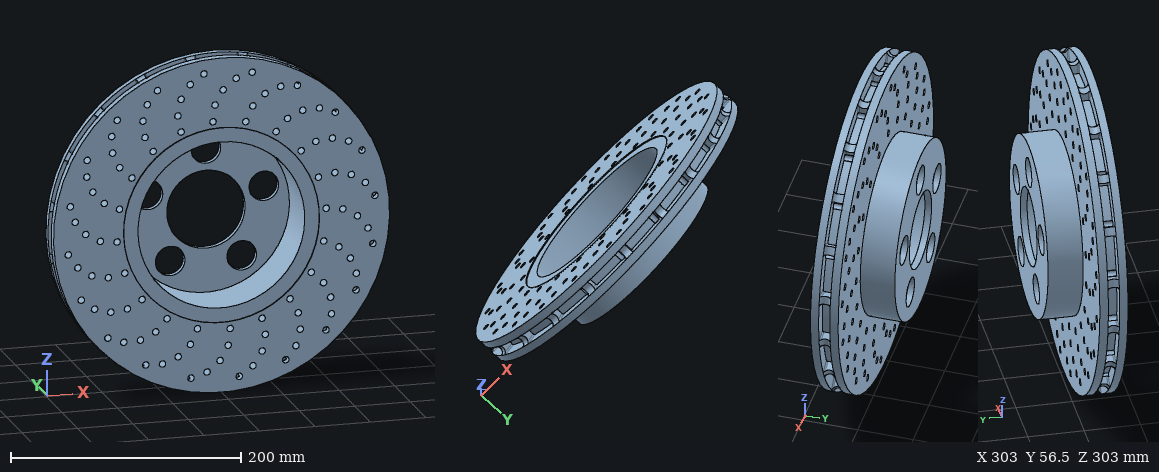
import cadquery as cq
import math

ROTOR_RADIUS = 151.5
TOTAL_DEPTH = 56.5
PLATE_THICKNESS = 7.5
VENT_GAP = 10.0
DISC_THICKNESS = 2 * PLATE_THICKNESS + VENT_GAP
VENT_MIDDLE = DISC_THICKNESS / 2

HAT_OUTER_RADIUS = 81.5
HAT_INNER_RADIUS = 75.0
HAT_FLOOR_THICKNESS = 6.0
CENTRE_BORE_RADIUS = 35.0
RELIEF_RADIUS = 88.2
RELIEF_DEPTH = 1.0

BOLT_COUNT = 5
BOLT_CIRCLE_RADIUS = 54.8
BOLT_HOLE_DIAMETER = 26.5
FIRST_BOLT_ANGLE = 90

VANE_COUNT = 20
VANE_PITCH = 360 / VANE_COUNT
VANE_WIDTH = 8.0
VENT_FLOOR_RADIUS = 139.7
VANE_FILLET = 1.2
POCKET_OVERSHOOT = 6.0
RIM_GROOVE_DEPTH = 4.0

DRILL_RADIUS = 2.88
DRILLS_PER_ARC = 5
DRILL_ARC_RADIUS = 39.5
DRILL_ARC_CENTRE_RADIUS = 102.0
DRILL_ARC_CENTRE_ANGLE = 72.0
DRILL_ARC_START = 184.2
DRILL_ARC_STEP = -22.1


def cylinder(radius, start, end, x=0.0, z=0.0):
    """Solid cylinder parallel to Y, from Y = start to Y = end."""
    return cq.Workplane(
        cq.Solid.makeCylinder(radius, end - start, cq.Vector(x, start, z), cq.Vector(0, 1, 0))
    )


def polar(radius, angle):
    """X and Z of a point given in polar form about the rotor axis."""
    return radius * math.cos(math.radians(angle)), radius * math.sin(math.radians(angle))


def rotor_blank():
    """Disc and hat without any openings around the rim."""
    disc = cylinder(ROTOR_RADIUS, 0, DISC_THICKNESS)
    hat = cylinder(HAT_OUTER_RADIUS, 0, TOTAL_DEPTH)
    relief = cylinder(RELIEF_RADIUS, 0, RELIEF_DEPTH)
    hollow = cylinder(HAT_INNER_RADIUS, 0, TOTAL_DEPTH - HAT_FLOOR_THICKNESS)
    bore = cylinder(CENTRE_BORE_RADIUS, 0, TOTAL_DEPTH)
    return disc.union(hat).cut(relief).cut(hollow).cut(bore)


def bolt_holes():
    """Ring of through holes in the hat floor, the first one at the top."""
    holes = cq.Workplane()
    for i in range(BOLT_COUNT):
        x, z = polar(BOLT_CIRCLE_RADIUS, FIRST_BOLT_ANGLE + i * 360 / BOLT_COUNT)
        holes.add(cylinder(BOLT_HOLE_DIAMETER / 2, 0, TOTAL_DEPTH, x, z))
    return holes.combine()


def vent_pocket():
    """Rim pocket centred on +X: round floor, vane sides filleted along both plates."""

    def corner(radius, side):
        half_angle = VANE_PITCH / 2 - math.degrees(math.asin(VANE_WIDTH / 2 / radius))
        return polar(radius, side * half_angle)

    open_radius = ROTOR_RADIUS + POCKET_OVERSHOOT
    pocket = (
        cq.Workplane("XZ", origin=(0, VENT_MIDDLE - VENT_GAP / 2, 0))
        .moveTo(*corner(VENT_FLOOR_RADIUS, -1))
        .threePointArc((VENT_FLOOR_RADIUS, 0), corner(VENT_FLOOR_RADIUS, 1))
        .lineTo(*corner(open_radius, 1))
        .threePointArc((open_radius, 0), corner(open_radius, -1))
        .close()
        .extrude(-VENT_GAP)
    )
    return pocket.faces("<Y or >Y").edges("%LINE").fillet(VANE_FILLET)


def vent_pockets():
    """Full ring of rim pockets; the walls left between them are the vanes."""
    pocket = vent_pocket()
    pockets = cq.Workplane()
    for i in range(VANE_COUNT):
        pockets.add(pocket.rotate((0, 0, 0), (0, 1, 0), i * VANE_PITCH))
    return pockets.combine()


def rim_groove():
    """Round-bottomed groove that hollows the outer ends of the vanes."""
    return (
        cq.Workplane("XY")
        .moveTo(ROTOR_RADIUS, VENT_MIDDLE - VENT_GAP / 2)
        .threePointArc(
            (ROTOR_RADIUS - RIM_GROOVE_DEPTH, VENT_MIDDLE),
            (ROTOR_RADIUS, VENT_MIDDLE + VENT_GAP / 2),
        )
        .close()
        .revolve(360, (0, 0, 0), (0, 1, 0))
    )


def drill_holes():
    """Arcs of small holes through both plates, one arc per vane."""
    centre_x, centre_z = polar(DRILL_ARC_CENTRE_RADIUS, DRILL_ARC_CENTRE_ANGLE)
    holes = cq.Workplane()
    for j in range(DRILLS_PER_ARC):
        offset_x, offset_z = polar(DRILL_ARC_RADIUS, DRILL_ARC_START + j * DRILL_ARC_STEP)
        hole = cylinder(DRILL_RADIUS, 0, DISC_THICKNESS, centre_x + offset_x, centre_z + offset_z)
        for i in range(VANE_COUNT):
            holes.add(hole.rotate((0, 0, 0), (0, 1, 0), i * VANE_PITCH))
    return holes.combine()


result = rotor_blank().cut(bolt_holes()).cut(vent_pockets()).cut(rim_groove()).cut(drill_holes())